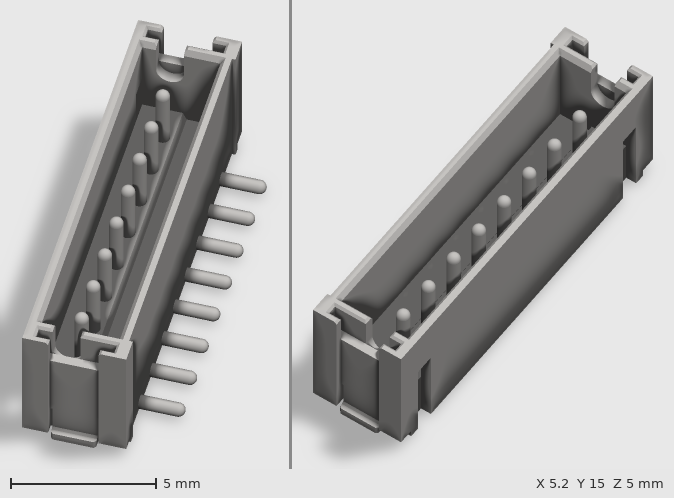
import cadquery as cq

HOUSING_X = 3.58
HOUSING_Y = 15.0
HOUSING_Z = 5.0
HALF_Y = HOUSING_Y / 2

EAR_X = 0.13
EAR_Y = 0.85

CAVITY_X_MIN = 0.42
CAVITY_X_MAX = 3.21
CAVITY_HALF_Y = 6.5
UPPER_FLOOR_Z = 1.8
LOWER_FLOOR_Z = 1.5
STEP_X = 1.87
STEP_RUN = 0.14
RIM_BEVEL_RUN = 0.15
RIM_BEVEL_DROP = 0.2

PANEL_INNER_Y = 6.9
PANEL_OUTER_Y = 7.24
PANEL_TOP_Z = 3.8
LIP_BEVEL = 0.09
OUTER_GAP_X_MIN = 0.92
OUTER_GAP_X_MAX = 2.72
INNER_GAP_X_MIN = 0.91
INNER_GAP_X_MAX = 1.91
INNER_GAP_ARC_Z = 3.8

UNDERCUT_Z = 0.3
FOOT_X_MIN = 1.0
FOOT_X_MAX = 2.62
FOOT_CORNER = 0.08
FOOT_BOTTOM_Y = 7.15
FOOT_RAMP_RUN = 0.08
RELIEF_Z = 1.3

WINDOW_HALF_SPACING = 6.11
WINDOW_Y = 0.78
WINDOW_Z = 3.2

PIN_COUNT = 8
PIN_PITCH = 1.5
PIN_RADIUS = 0.25
CONTACT_X = 1.5
CONTACT_TIP_Z = 4.2
TAIL_TIP_X = 5.2
TAIL_Z = PIN_RADIUS

END_SIDES = (-1, 1)


def block(x_min, x_max, y_min, y_max, z_min, z_max):
    """Box given by its limits along each axis."""
    size = (x_max - x_min, y_max - y_min, z_max - z_min)
    return cq.Workplane("XY").box(*size, centered=False).translate((x_min, y_min, z_min))


def top_bevel(x_min, x_max, y_min, y_max, run, drop):
    """Cutter that widens a rectangular opening by `run` at the top, over the height `drop`."""
    center = ((x_min + x_max) / 2, (y_min + y_max) / 2)
    length_x = x_max - x_min
    length_y = y_max - y_min
    return (
        cq.Workplane("XY", origin=(*center, HOUSING_Z - drop))
        .rect(length_x, length_y)
        .workplane(offset=drop)
        .rect(length_x + 2 * run, length_y + 2 * run)
        .loft(ruled=True)
    )


def housing_block():
    """Solid housing with its four-sided outline and the two corner ears."""
    body = block(0, HOUSING_X, -HALF_Y, HALF_Y, 0, HOUSING_Z)
    ear = block(HOUSING_X, HOUSING_X + EAR_X, HALF_Y - EAR_Y, HALF_Y, 0, HOUSING_Z)
    return body.union(ear).union(ear.mirror("XZ"))


def cavity():
    """Mating cavity with a sloped step in the floor and a bevelled rim."""
    pocket = (
        cq.Workplane("XZ", origin=(0, CAVITY_HALF_Y, 0))
        .moveTo(CAVITY_X_MIN, HOUSING_Z)
        .lineTo(CAVITY_X_MIN, UPPER_FLOOR_Z)
        .lineTo(STEP_X, UPPER_FLOOR_Z)
        .lineTo(STEP_X + STEP_RUN, LOWER_FLOOR_Z)
        .lineTo(CAVITY_X_MAX, LOWER_FLOOR_Z)
        .lineTo(CAVITY_X_MAX, HOUSING_Z)
        .close()
        .extrude(2 * CAVITY_HALF_Y)
    )
    rim = top_bevel(
        CAVITY_X_MIN, CAVITY_X_MAX, -CAVITY_HALF_Y, CAVITY_HALF_Y, RIM_BEVEL_RUN, RIM_BEVEL_DROP
    )
    return pocket.union(rim)


def end_channel():
    """Channel above the end panel, with the gaps through the inner and outer lips."""
    channel = block(
        CAVITY_X_MIN, CAVITY_X_MAX, PANEL_INNER_Y, PANEL_OUTER_Y, PANEL_TOP_Z, HOUSING_Z
    )
    channel_rim = top_bevel(
        CAVITY_X_MIN, CAVITY_X_MAX, PANEL_INNER_Y, PANEL_OUTER_Y, LIP_BEVEL, LIP_BEVEL
    )
    outer_gap = block(OUTER_GAP_X_MIN, OUTER_GAP_X_MAX, PANEL_OUTER_Y, HALF_Y, 0, HOUSING_Z)
    outer_gap_rim = top_bevel(
        OUTER_GAP_X_MIN, OUTER_GAP_X_MAX, PANEL_OUTER_Y, HALF_Y, LIP_BEVEL, LIP_BEVEL
    )
    return channel.union(channel_rim).union(outer_gap).union(outer_gap_rim).union(inner_gap())


def inner_gap():
    """Round-bottomed gap through the inner lip, bevelled along its top edges."""
    radius = (INNER_GAP_X_MAX - INNER_GAP_X_MIN) / 2
    gap = (
        cq.Workplane("XZ", origin=(0, PANEL_INNER_Y, 0))
        .moveTo(INNER_GAP_X_MIN, HOUSING_Z)
        .lineTo(INNER_GAP_X_MIN, INNER_GAP_ARC_Z)
        .radiusArc((INNER_GAP_X_MAX, INNER_GAP_ARC_Z), -radius)
        .lineTo(INNER_GAP_X_MAX, HOUSING_Z)
        .close()
        .extrude(PANEL_INNER_Y - CAVITY_HALF_Y)
    )
    gap_rim = top_bevel(
        INNER_GAP_X_MIN, INNER_GAP_X_MAX, CAVITY_HALF_Y, PANEL_INNER_Y, LIP_BEVEL, LIP_BEVEL
    )
    return gap.union(gap_rim)


def end_undercut():
    """Relief below the lips plus the two narrow slots beside the latch foot."""
    undercut = block(0, HOUSING_X + EAR_X, PANEL_INNER_Y, HALF_Y, 0, UNDERCUT_Z)
    near_slot = block(OUTER_GAP_X_MIN, FOOT_X_MIN, PANEL_INNER_Y, PANEL_OUTER_Y, 0, RELIEF_Z)
    far_slot = block(FOOT_X_MAX, OUTER_GAP_X_MAX, PANEL_INNER_Y, PANEL_OUTER_Y, 0, RELIEF_Z)
    return undercut.union(near_slot).union(far_slot)


def latch_foot():
    """Foot under the end panel: sloped back, short ramp on top and cut outer corners."""
    ramp_top_z = UNDERCUT_Z + FOOT_RAMP_RUN
    return (
        cq.Workplane("YZ", origin=(FOOT_X_MIN, 0, 0))
        .moveTo(PANEL_INNER_Y, UNDERCUT_Z)
        .lineTo(FOOT_BOTTOM_Y, 0)
        .lineTo(HALF_Y, 0)
        .lineTo(HALF_Y, UNDERCUT_Z)
        .lineTo(PANEL_OUTER_Y + FOOT_RAMP_RUN, UNDERCUT_Z)
        .lineTo(PANEL_OUTER_Y, ramp_top_z)
        .lineTo(PANEL_INNER_Y, ramp_top_z)
        .close()
        .extrude(FOOT_X_MAX - FOOT_X_MIN)
        .edges("|Z and >Y")
        .chamfer(FOOT_CORNER)
    )


def window(side):
    """Opening through the wall opposite the pins, near one end."""
    center_y = side * WINDOW_HALF_SPACING
    return block(0, CAVITY_X_MIN, center_y - WINDOW_Y / 2, center_y + WINDOW_Y / 2, 0, WINDOW_Z)


def domed_rod(plane, origin, length):
    """Round rod along the plane normal, ending in a hemisphere at its full length."""
    shaft_length = length - PIN_RADIUS
    base = cq.Workplane(plane, origin=origin)
    shaft = base.circle(PIN_RADIUS).extrude(shaft_length)
    dome = base.workplane(offset=shaft_length).sphere(PIN_RADIUS)
    return shaft.union(dome)


def pin(y):
    """Right-angle pin: upright contact in the cavity and a tail leaving through the wall."""
    contact = domed_rod("XY", (CONTACT_X, y, TAIL_Z), CONTACT_TIP_Z - TAIL_Z)
    tail = domed_rod("YZ", (CONTACT_X, y, TAIL_Z), TAIL_TIP_X - CONTACT_X)
    return contact.union(tail)


result = housing_block().cut(cavity())

for side in END_SIDES:
    result = result.cut(window(side))

channel_cut = end_channel()
undercut_cut = end_undercut()
foot = latch_foot()
result = result.cut(channel_cut).cut(channel_cut.mirror("XZ"))
result = result.cut(undercut_cut).cut(undercut_cut.mirror("XZ"))
result = result.union(foot).union(foot.mirror("XZ"))

for index in range(PIN_COUNT):
    result = result.union(pin((index - (PIN_COUNT - 1) / 2) * PIN_PITCH))